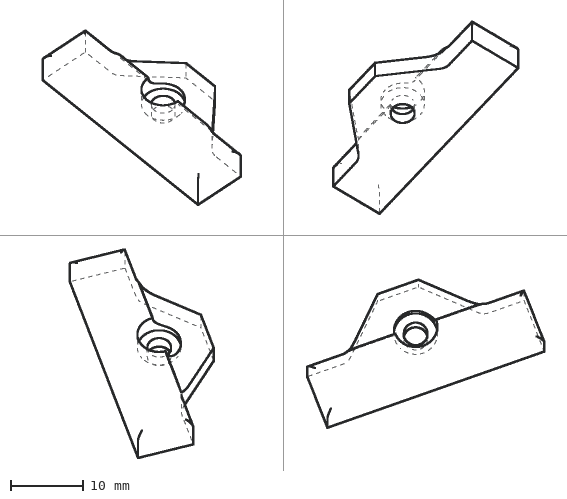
import cadquery as cq
import math

bar_length = 32.0
bar_width = 8.0
total_width = 14.98
bar_height = 5.0
tab_height = 3.0
tab_tip_width = 6.0
tab_root_half_width = tab_tip_width / 2 + (total_width - bar_width)
corner_radius = 2.0
edge_radius = 1.0
step_radius = bar_height - tab_height
hole_diameter = 3.3
counterbore_diameter = 6.0
counterbore_floor = 2.0
half_length = bar_length / 2
select_margin = 0.32


def make_body():
    """Full-height bar and tapered tab with rounded inner corners and top edges."""
    outline = [
        (-half_length, 0),
        (half_length, 0),
        (half_length, bar_width),
        (tab_root_half_width, bar_width),
        (tab_tip_width / 2, total_width),
        (-tab_tip_width / 2, total_width),
        (-tab_root_half_width, bar_width),
        (-half_length, bar_width),
    ]
    body = cq.Workplane("XY").polyline(outline).close().extrude(bar_height)
    inner_corners = cq.selectors.BoxSelector(
        (-tab_root_half_width - select_margin, bar_width - select_margin, 0),
        (tab_root_half_width + select_margin, bar_width + select_margin, bar_height),
    )
    body = body.edges("|Z").edges(inner_corners).fillet(corner_radius)
    return body.faces(">Z").edges().fillet(edge_radius)


def make_step_cut():
    """Material above the tab, with a concave quarter round against the bar."""
    bend_end = bar_width + step_radius
    diagonal = step_radius * math.sqrt(0.5)
    return (
        cq.Workplane("YZ", origin=(-half_length, 0, 0))
        .moveTo(bar_width, bar_height)
        .threePointArc((bend_end - diagonal, bar_height - diagonal), (bend_end, tab_height))
        .lineTo(total_width, tab_height)
        .lineTo(total_width, bar_height)
        .close()
        .extrude(bar_length)
    )


def make_screw_hole():
    """Through hole with a flat counterbore, centred on the back edge of the bar."""
    hole = cq.Workplane("XY").center(0, bar_width).circle(hole_diameter / 2).extrude(bar_height)
    counterbore = (
        cq.Workplane("XY", origin=(0, bar_width, counterbore_floor))
        .circle(counterbore_diameter / 2)
        .extrude(bar_height - counterbore_floor)
    )
    return hole.union(counterbore)


result = make_body().cut(make_step_cut()).cut(make_screw_hole())